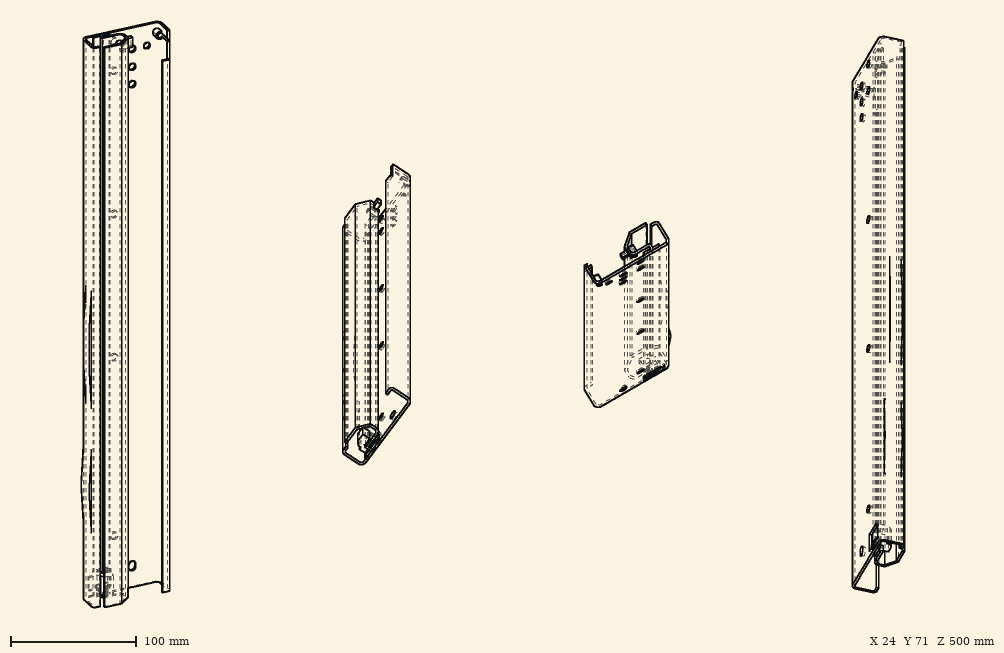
import cadquery as cq
import math

LENGTH = 500.0
WIDTH = 71.0
DEPTH = 24.0
SHEET = 2.0
BEND = 4.5

PAD_HEIGHT = 2.0
CHANNEL_FRONT = PAD_HEIGHT
CHANNEL_DEPTH = 21.0
LIP_BEND = 3.0
FRONT_LIP_TOP = 8.5
BACK_LIP_TIP = 63.5
LIP_CUTBACK = 25.0
CUTBACK_X = 19.0

RAIL_WEB_X = 6.0
RAIL_CREST = 35.5
RAIL_BEND = 5.0
FOOT_BOTTOM = 11.0
FOOT_TOP = 25.0
STEP_TOP = 18.5
PLATE_BOTTOM = 11.0
PLATE_TOP = 26.0
CREST_END_X = 16.0

HOLE_Y = 46.0
HOLE_DIAMETER = 6.0
HOLE_HEIGHTS = [449.5, 465.0, 481.0]
SIDE_HOLE_Y = 59.0
SIDE_HOLE_DIAMETER = 5.5
ACCESS_Y = 30.0
ACCESS_DIAMETER = 6.0
COLLAR_Z = 491.5
ACCESS_HEIGHTS = [49.5, 209.0, 337.0, 465.0, COLLAR_Z]
SLOT_Z = 19.0
SLOT_LENGTH = 8.5

COLLAR_DIAMETER = 7.0
COLLAR_BORE = 4.0
CORNER_COLLAR_Y = 67.5
CORNER_COLLAR_END = 8.5
RAIL_COLLAR_Y = 31.5
RAIL_COLLAR_END = 15.0

FINGER_X = 9.5
FINGER_WIDTH = 3.5
FINGER_TIP = 41.0
FINGER_BOTTOM = 489.0
FINGER_HEIGHT = 8.5

WINDOW_BOTTOM = 5.5
WINDOW_TOP = 22.0
WINDOW_Y = (11.5, 27.0)
BLOCK_TOP_Y = 23.0
BLOCK_DEPTH = 14.5
BLOCK_NECK = 9.5
BLOCK_SHOULDER_Y = 15.5
BLOCK_CHAMFER = 2.5
RELIEF_BOTTOM_Y = 7.5
RELIEF_TOP = 17.5
NOTCH_Y = 18.5
NOTCH_DIAMETER = 7.0
LEDGE_X = 0.5
LEDGE_Y = (13.5, 24.5)
LEDGE_HEIGHT = 3.5

PAD_END_X = 18.0
LONG_PAD_X = 8.0
LONG_PAD_HEIGHTS = [177.5, 212.0, 248.0, 282.0]
SHORT_PAD_X = 3.5
SHORT_PAD_HEIGHTS = [66.0, 100.5, 105.0, 140.0]


def box(x0, x1, y0, y1, z0, z1):
    """Box between two opposite corners."""
    return cq.Workplane("XY").box(x1 - x0, y1 - y0, z1 - z0, centered=False).translate((x0, y0, z0))


def rod(diameter, y, z, x0, x1):
    """Cylinder along X from x0 to x1."""
    return cq.Workplane("YZ", origin=(x0, y, z)).circle(diameter / 2).extrude(x1 - x0)


def channel_envelope():
    """Solid bar with the outer shape of the channel."""
    bar = box(0, CHANNEL_DEPTH, CHANNEL_FRONT, WIDTH, 0, LENGTH)
    return bar.edges("|Z and <X").fillet(BEND).edges("|Z and >X").fillet(LIP_BEND)


def channel_section():
    """C section with rounded bends, a flange on each side and a short lip on each flange."""
    inner = box(SHEET, CHANNEL_DEPTH - SHEET, CHANNEL_FRONT + SHEET, WIDTH - SHEET, 0, LENGTH)
    inner = inner.edges("|Z and <X").fillet(BEND - SHEET).edges("|Z and >X").fillet(LIP_BEND - SHEET)
    mouth = box(CHANNEL_DEPTH - BEND, CHANNEL_DEPTH, FRONT_LIP_TOP, BACK_LIP_TIP, 0, LENGTH)
    cutback = box(CUTBACK_X, CHANNEL_DEPTH, BACK_LIP_TIP, WIDTH, LENGTH - LIP_CUTBACK, LENGTH)
    return channel_envelope().cut(inner).cut(mouth).cut(cutback)


def pad(x_start, heights):
    """Low pad on the front flange: a ramp, a flat crest and a second ramp along Z."""
    foot_low, crest_low, crest_high, foot_high = heights
    base = CHANNEL_FRONT + SHEET / 2
    profile = [
        (base, foot_low),
        (CHANNEL_FRONT, foot_low),
        (0, crest_low),
        (0, crest_high),
        (CHANNEL_FRONT, foot_high),
        (base, foot_high),
    ]
    return cq.Workplane("YZ", origin=(x_start, 0, 0)).polyline(profile).close().extrude(PAD_END_X - x_start)


def web_openings():
    """Everything cut through the channel web."""
    cuts = rod(SIDE_HOLE_DIAMETER, SIDE_HOLE_Y, HOLE_HEIGHTS[-1], 0, SHEET)
    for z in HOLE_HEIGHTS:
        cuts = cuts.union(rod(HOLE_DIAMETER, HOLE_Y, z, 0, SHEET))
    for z in ACCESS_HEIGHTS:
        cuts = cuts.union(rod(ACCESS_DIAMETER, ACCESS_Y, z, 0, SHEET))
    slot_plane = cq.Workplane("YZ", origin=(0, HOLE_Y, SLOT_Z))
    slot = slot_plane.slot2D(SLOT_LENGTH, HOLE_DIAMETER, 90).extrude(SHEET)
    window = box(0, SHEET, *WINDOW_Y, WINDOW_BOTTOM, WINDOW_TOP)
    relief = box(0, SHEET, RELIEF_BOTTOM_Y, WINDOW_Y[0], WINDOW_BOTTOM, RELIEF_TOP)
    notch = rod(NOTCH_DIAMETER, NOTCH_Y, WINDOW_BOTTOM, 0, SHEET)
    return cuts.union(slot).union(window).union(relief).union(notch)


def make_channel():
    """Channel with its pads, openings and the collar in its rounded back corner."""
    channel = channel_section()
    channel = channel.union(pad(LONG_PAD_X, LONG_PAD_HEIGHTS))
    channel = channel.union(pad(SHORT_PAD_X, SHORT_PAD_HEIGHTS))
    channel = channel.cut(web_openings())
    collar = rod(COLLAR_DIAMETER, CORNER_COLLAR_Y, COLLAR_Z, 0, CORNER_COLLAR_END)
    collar = collar.intersect(channel_envelope())
    bore = rod(COLLAR_BORE, CORNER_COLLAR_Y, COLLAR_Z, 0, DEPTH)
    return channel.union(collar).cut(bore)


def rail_section():
    """Strip that runs from the foot on the channel web, over the crest, to the outer plate."""
    drop = SHEET * math.tan(math.pi / 8)
    plate_x = DEPTH - SHEET
    return (
        cq.Workplane("XY")
        .moveTo(SHEET, FOOT_BOTTOM)
        .lineTo(2 * SHEET, FOOT_BOTTOM)
        .lineTo(2 * SHEET, STEP_TOP - SHEET)
        .lineTo(RAIL_WEB_X + SHEET, STEP_TOP - SHEET)
        .lineTo(RAIL_WEB_X + SHEET, RAIL_CREST - RAIL_BEND)
        .radiusArc((RAIL_WEB_X + RAIL_BEND, RAIL_CREST - SHEET), RAIL_BEND - SHEET)
        .lineTo(CREST_END_X - drop, RAIL_CREST - SHEET)
        .lineTo(plate_x, PLATE_TOP - drop)
        .lineTo(plate_x, PLATE_BOTTOM)
        .lineTo(DEPTH, PLATE_BOTTOM)
        .lineTo(DEPTH, PLATE_TOP)
        .lineTo(CREST_END_X, RAIL_CREST)
        .lineTo(RAIL_WEB_X + RAIL_BEND, RAIL_CREST)
        .radiusArc((RAIL_WEB_X, RAIL_CREST - RAIL_BEND), -RAIL_BEND)
        .lineTo(RAIL_WEB_X, STEP_TOP)
        .lineTo(2 * SHEET, STEP_TOP)
        .lineTo(2 * SHEET, FOOT_TOP)
        .lineTo(SHEET, FOOT_TOP)
        .close()
        .extrude(LENGTH)
    )


def stop_block():
    """Stepped block at the lower end of the rail, behind the window of the channel."""
    outline = [
        (SHEET, FOOT_BOTTOM),
        (BLOCK_NECK, FOOT_BOTTOM),
        (BLOCK_NECK, BLOCK_SHOULDER_Y - BLOCK_CHAMFER),
        (BLOCK_DEPTH - BLOCK_CHAMFER, BLOCK_SHOULDER_Y - BLOCK_CHAMFER),
        (BLOCK_DEPTH, BLOCK_SHOULDER_Y),
        (BLOCK_DEPTH, BLOCK_TOP_Y),
        (SHEET, BLOCK_TOP_Y),
    ]
    height = WINDOW_TOP - WINDOW_BOTTOM
    return cq.Workplane("XY", origin=(0, 0, WINDOW_BOTTOM)).polyline(outline).close().extrude(height)


def window_ledge():
    """Low ledge of the rail that stands on the lower edge of the window."""
    return box(LEDGE_X, SHEET, *LEDGE_Y, WINDOW_BOTTOM, WINDOW_BOTTOM + LEDGE_HEIGHT)


def make_rail():
    """Inner rail with its stop block, ledge, finger and collar."""
    finger_base = RAIL_CREST - SHEET / 2
    finger_end_x = FINGER_X + FINGER_WIDTH
    finger_top = FINGER_BOTTOM + FINGER_HEIGHT
    finger = box(FINGER_X, finger_end_x, finger_base, FINGER_TIP, FINGER_BOTTOM, finger_top)
    rail = rail_section().union(stop_block()).union(window_ledge()).union(finger)
    collar_start = RAIL_WEB_X + SHEET / 2
    rail = rail.union(rod(COLLAR_DIAMETER, RAIL_COLLAR_Y, COLLAR_Z, collar_start, RAIL_COLLAR_END))
    return rail.cut(rod(COLLAR_BORE, RAIL_COLLAR_Y, COLLAR_Z, RAIL_WEB_X, RAIL_COLLAR_END))


channel = make_channel()
rail = make_rail()
result = cq.Compound.makeCompound([channel.val(), rail.val()])